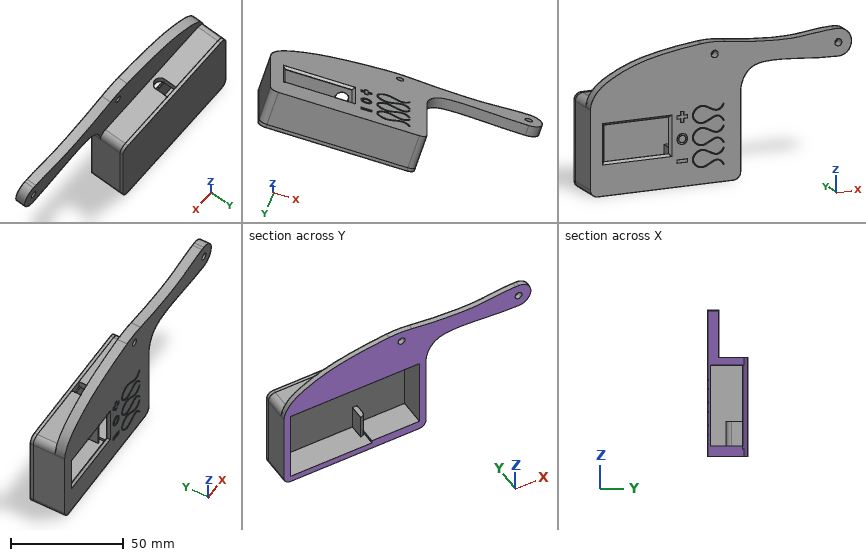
import cadquery as cq
import math


case_width = 73.0
case_height = 43.95
case_depth = 17.8
case_corner_radius = 3.6
wall = 3.5
front_wall = 1.3
floor_step_height = 1.3

plate_thickness = 5.0
plate_shoulder_height = 40.0
plate_peak = (58.6, 64.98)
plate_peak_radius = 46.0
peak_arc_left_x = 54.0
peak_arc_right_x = 65.7
handle_eye = (120.4, 57.6)
handle_eye_radius = 6.4
handle_flat_length = 1.6
hanging_hole_diameter = 3.3
plate_hole = (60.4, 59.2)
tangent_up = (0, 1)
tangent_down = (0, -1)
tangent_right = (1, 0)
tangent_left = (-1, 0)
back_curve = [(2.3, 46.8), (10.7, 53.7), (24.1, 59.4), (39.0, 62.75)]
handle_top_curve = [(75.0, 63.2), (84.8, 62.4), (100.8, 62.3)]
handle_bottom_curve = [(103.1, 52.2), (88.5, 53.1), (77.5, 50.5), (74.1, 45.8)]

window_width = 33.6
window_height = 19.1
window_center = (22.7, 24.0)
window_bevel = 1.1

engraving_depth = 0.2
symbol_column_x = 44.65
symbol_pitch = 10.15
middle_symbol_z = 21.9
symbol_length = 5.0
symbol_bar = 1.5
ring_outer_diameter = 5.0
ring_inner_diameter = 3.4

coil_line_width = 0.4
coil_left_x = 49.8
coil_crest_x = 53.5
coil_crest_rise = 3.9
coil_neck_x = 61.2
coil_neck_rise = 1.35
coil_end_x = 64.8
coil_end_rise = 3.9

slot_width = 6.2
slot_depth = 9.5
slot_center_x = 36.4

lid_thickness = 1.6
lid_plug_thickness = 0.7
rib_x = 42.7
rib_thickness = 2.4
rib_height = 12.1
rib_length = 7.3

seam_y = case_depth - lid_thickness
cavity_width = case_width - 2 * wall
cavity_height = case_height - 2 * wall
plug_y = seam_y - lid_plug_thickness


def front_workplane(y):
    """Sketch plane facing the front (local x = X, local y = Z) at depth y; extrude with -depth to go back."""
    return cq.Workplane("XZ", origin=(0, y, 0))


def case_block(y_start, y_end):
    """Block with the case outline, rounded along its edges parallel to Y."""
    return (
        front_workplane(y_start)
        .center(case_width / 2, case_height / 2)
        .rect(case_width, case_height)
        .extrude(y_start - y_end)
        .edges("|Y")
        .fillet(case_corner_radius)
    )


def cavity_block(y_start, y_end):
    """Square-cornered block that fills the inside of the case."""
    return (
        front_workplane(y_start)
        .center(case_width / 2, case_height / 2)
        .rect(cavity_width, cavity_height)
        .extrude(y_start - y_end)
    )


def peak_tangent(x):
    """Direction of the arc over the plate's highest point, going toward +X."""
    sine = (x - plate_peak[0]) / plate_peak_radius
    return (math.sqrt(1 - sine**2), -sine)


def peak_arc_point(x):
    """Point of the arc over the plate's highest point."""
    drop = plate_peak_radius * (1 - peak_tangent(x)[0])
    return (x, plate_peak[1] - drop)


def front_plate():
    r = case_corner_radius
    arc_inset = r * (1 - math.sqrt(0.5))
    eye_x, eye_z = handle_eye
    peak_arc_left = peak_arc_point(peak_arc_left_x)
    peak_arc_right = peak_arc_point(peak_arc_right_x)
    outline = (
        front_workplane(0)
        .moveTo(r, 0)
        .threePointArc((arc_inset, arc_inset), (0, r))
        .lineTo(0, plate_shoulder_height)
        .spline(
            back_curve + [peak_arc_left],
            tangents=[tangent_up, peak_tangent(peak_arc_left_x)],
            scale=False,
            includeCurrent=True,
        )
        .threePointArc(plate_peak, peak_arc_right)
        .spline(
            handle_top_curve + [(eye_x - handle_flat_length, eye_z + handle_eye_radius)],
            tangents=[peak_tangent(peak_arc_right_x), tangent_right],
            scale=False,
            includeCurrent=True,
        )
        .lineTo(eye_x, eye_z + handle_eye_radius)
        .threePointArc((eye_x + handle_eye_radius, eye_z), (eye_x, eye_z - handle_eye_radius))
        .spline(
            handle_bottom_curve + [(case_width, plate_shoulder_height)],
            tangents=[tangent_left, tangent_down],
            scale=False,
            includeCurrent=True,
        )
        .lineTo(case_width, r)
        .threePointArc((case_width - arc_inset, arc_inset), (case_width - r, 0))
        .close()
    )
    plate = outline.extrude(-plate_thickness)
    holes = (
        front_workplane(0)
        .pushPoints([plate_hole, handle_eye])
        .circle(hanging_hole_diameter / 2)
        .extrude(-plate_thickness)
    )
    return plate.cut(holes)


def window_cutter():
    """Bevel tapering in from the front face, then a straight opening into the cavity."""
    bevel = (
        front_workplane(0)
        .center(*window_center)
        .rect(window_width, window_height)
        .workplane(offset=-window_bevel)
        .rect(window_width - 2 * window_bevel, window_height - 2 * window_bevel)
        .loft()
    )
    opening = (
        front_workplane(0)
        .center(*window_center)
        .rect(window_width - 2 * window_bevel, window_height - 2 * window_bevel)
        .extrude(-front_wall)
    )
    return bevel.union(opening)


def cable_slot_cutter():
    """Slot through the top wall, open at the seam and round at its front end."""
    half = slot_width / 2
    slot_front_y = seam_y - slot_depth
    return (
        cq.Workplane("XY", origin=(slot_center_x, 0, case_height - wall))
        .moveTo(-half, seam_y)
        .lineTo(-half, slot_front_y + half)
        .threePointArc((0, slot_front_y), (half, slot_front_y + half))
        .lineTo(half, seam_y)
        .close()
        .extrude(wall)
    )


def symbol_bar_cutter(z, length_x, length_z):
    return (
        front_workplane(0)
        .center(symbol_column_x, z)
        .rect(length_x, length_z)
        .extrude(-engraving_depth)
    )


def plus_cutter(z):
    across = symbol_bar_cutter(z, symbol_length, symbol_bar)
    upright = symbol_bar_cutter(z, symbol_bar, symbol_length)
    return across.union(upright)


def ring_cutter(z):
    return (
        front_workplane(0)
        .center(symbol_column_x, z)
        .circle(ring_outer_diameter / 2)
        .circle(ring_inner_diameter / 2)
        .extrude(-engraving_depth)
    )


def coil_cutter(z):
    """Thin groove following one omega-shaped heating coil centred on height z."""
    upper_half = [
        (coil_end_x, z + coil_end_rise),
        (coil_neck_x, z + coil_neck_rise),
        (coil_crest_x, z + coil_crest_rise),
    ]
    lower_half = [(x, 2 * z - height) for x, height in reversed(upper_half)]
    path = front_workplane(0).spline(upper_half + [(coil_left_x, z)] + lower_half)
    start = path.val().startPoint()
    profile_plane = cq.Plane(origin=start, xDir=(0, 1, 0), normal=path.val().tangentAt(0))
    profile = cq.Workplane(profile_plane).rect(2 * engraving_depth, coil_line_width)
    return profile.sweep(path)


def floor_step():
    """Raised part of the cavity floor, from the lid's rib to the right wall."""
    left_x = rib_x + rib_thickness
    return (
        cq.Workplane("XY", origin=(left_x, front_wall, wall))
        .box(case_width - wall - left_x, plug_y - front_wall, floor_step_height, centered=False)
    )


def build_housing():
    body = case_block(0, seam_y)
    body = body.union(front_plate())
    body = body.cut(cavity_block(front_wall, seam_y)).union(floor_step())
    body = body.cut(window_cutter()).cut(cable_slot_cutter())

    plus_z = middle_symbol_z + symbol_pitch
    minus_z = middle_symbol_z - symbol_pitch
    body = body.cut(plus_cutter(plus_z))
    body = body.cut(ring_cutter(middle_symbol_z))
    body = body.cut(symbol_bar_cutter(minus_z, symbol_length, symbol_bar))
    for coil_z in (plus_z, middle_symbol_z, minus_z):
        body = body.cut(coil_cutter(coil_z))
    return body


def lid_rib():
    """Upright rib reaching forward from the plug, flat on its left and fully rounded on its front right."""
    return (
        cq.Workplane("XY", origin=(rib_x, plug_y - rib_length, wall))
        .moveTo(0, 0)
        .radiusArc((rib_thickness, rib_thickness), -rib_thickness)
        .lineTo(rib_thickness, rib_length)
        .lineTo(0, rib_length)
        .close()
        .extrude(rib_height)
    )


def build_lid():
    cover = case_block(seam_y, case_depth)
    plug = cavity_block(plug_y, seam_y)
    return cover.union(plug).union(lid_rib())


housing = build_housing()
lid = build_lid()

result = cq.Compound.makeCompound([housing.val(), lid.val()])